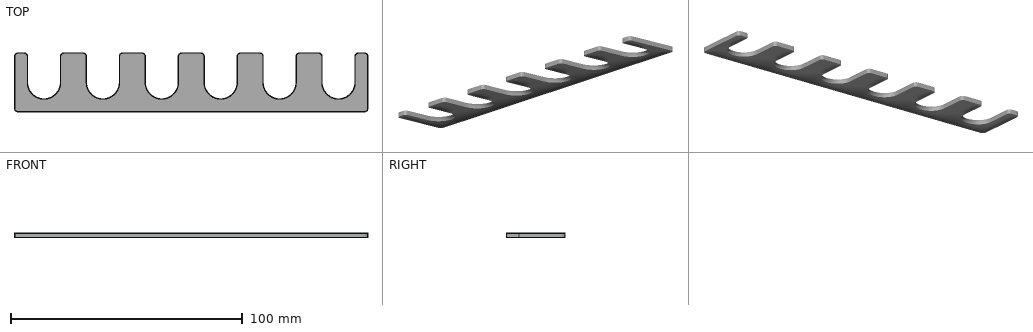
import cadquery as cq

length = 152.4
slot_count = 6
pitch = length / slot_count
width = pitch
thickness = 2.0
corner_radius = 1.5

slot_width = 14.2
slot_radius = slot_width / 2
slot_center_height = 12.6
slot_center_y = slot_center_height - width / 2


def make_plate():
    return cq.Workplane("XY").box(length, width, thickness)


def make_slot(center_x):
    """Cutter for one slot, running from its round bottom out through the +Y edge."""
    round_bottom = cq.Workplane("XY").center(center_x, slot_center_y).circle(slot_radius)
    straight_length = width / 2 - slot_center_y
    straight = (
        cq.Workplane("XY")
        .center(center_x, slot_center_y + straight_length / 2)
        .rect(slot_width, straight_length)
    )
    return round_bottom.extrude(thickness, both=True).union(straight.extrude(thickness, both=True))


plate = make_plate()
for index in range(slot_count):
    plate = plate.cut(make_slot((index + 0.5) * pitch - length / 2))

plate = plate.edges("|Z and <Y").fillet(corner_radius)
result = plate.edges("|Z and >Y").fillet(corner_radius)